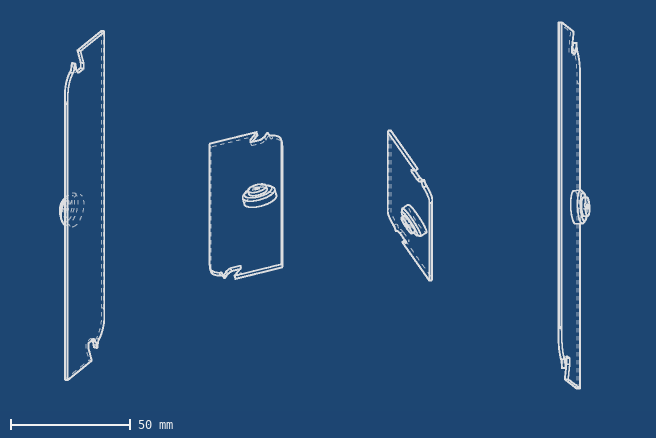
import cadquery as cq
import math

blade_length = 150.0
blade_width = 31.6
blade_thickness = 1.5
vee_height = 0.3

seat_corner_y = -4.8
seat_wall_y = -2.1
seat_wall_top_z = 68.1
seat_floor_z = 65.5
seat_floor_end_y = -6.5
finger_root_y = -8.2
finger_root_z = 67.8
finger_tip_inner_y = -9.2
finger_tip_outer_y = -9.6
finger_tip_z = 71.1
finger_tip_chamfer_y = 0.2
finger_tip_chamfer_z = 0.6
finger_foot_y = -10.4
finger_foot_z = 68.2
neck_mid_y = -10.6
neck_mid_z = 67.8

shoulder_radius = 9.9
shoulder_start_y = -11.2
shoulder_end_y = -15.5
shoulder_end_z = 59.5
runout_start_z = 56.7
runout_end_z = 54.6

button_axis_y = -6.5
button_axis_z = 0.5
collar_diameter = 14.0
collar_height = 3.9
collar_chamfer = 1.0
button_diameter = 8.0
button_height = 1.5
centre_hole_diameter = 1.8

half_length = blade_length / 2
half_width = blade_width / 2
half_thickness = blade_thickness / 2


def point_on_shoulder(y):
    """The (y, z) point on the shoulder arc, which meets the flat at its end tangentially."""
    centre_y = shoulder_end_y + shoulder_radius
    return (y, shoulder_end_z + math.sqrt(shoulder_radius**2 - (y - centre_y) ** 2))


def add_end(outline, side):
    """Continue the outline along one end of the blade; side is 1 for the upper end, -1 for the lower."""

    def place(y, z):
        return (side * y, side * z)

    seat_and_finger = [
        (half_width, half_length),
        (seat_corner_y, half_length),
        (seat_wall_y, seat_wall_top_z),
        (seat_wall_y, seat_floor_z),
        (seat_floor_end_y, seat_floor_z),
        (finger_root_y, finger_root_z),
        (finger_tip_inner_y, finger_tip_z),
        (finger_tip_outer_y, finger_tip_z),
        (finger_tip_outer_y - finger_tip_chamfer_y, finger_tip_z - finger_tip_chamfer_z),
        (finger_foot_y, finger_foot_z),
    ]
    for point in seat_and_finger:
        outline = outline.lineTo(*place(*point))

    shoulder_start = point_on_shoulder(shoulder_start_y)
    shoulder_mid = point_on_shoulder((shoulder_start_y + shoulder_end_y) / 2)
    shoulder_end = (shoulder_end_y, shoulder_end_z)
    outline = outline.threePointArc(place(neck_mid_y, neck_mid_z), place(*shoulder_start))
    outline = outline.threePointArc(place(*shoulder_mid), place(*shoulder_end))
    outline = outline.lineTo(*place(shoulder_end_y, runout_start_z))
    return outline.lineTo(*place(-half_width, runout_end_z))


def make_blade():
    start = (half_width, -runout_end_z)
    outline = cq.Workplane("YZ", origin=(-half_thickness, 0, 0)).moveTo(*start)
    for side in (1, -1):
        outline = add_end(outline, side)
    plate = outline.close().extrude(blade_thickness)

    face_half_width = half_width - vee_height
    vee_section = [
        (-half_thickness, -face_half_width),
        (0, -half_width),
        (half_thickness, -face_half_width),
        (half_thickness, face_half_width),
        (0, half_width),
        (-half_thickness, face_half_width),
    ]
    vee_bar = (
        cq.Workplane("XY", origin=(0, 0, -half_length)).polyline(vee_section).close().extrude(blade_length)
    )
    return plate.intersect(vee_bar)


def disc_on_blade(diameter, height, gap):
    """A disc on the button axis that stands toward -X, its base at the given gap from the blade."""
    base = cq.Workplane("YZ", origin=(-half_thickness - gap, button_axis_y, button_axis_z))
    return base.circle(diameter / 2).extrude(-height)


def make_collar():
    return disc_on_blade(collar_diameter, collar_height, 0).faces("<X").chamfer(collar_chamfer)


def make_button():
    button = disc_on_blade(button_diameter, button_height, collar_height)
    return button.faces("<X").workplane().hole(centre_hole_diameter)


blade = make_blade()
collar = make_collar()
button = make_button()

result = cq.Compound.makeCompound([blade.val(), collar.val(), button.val()])